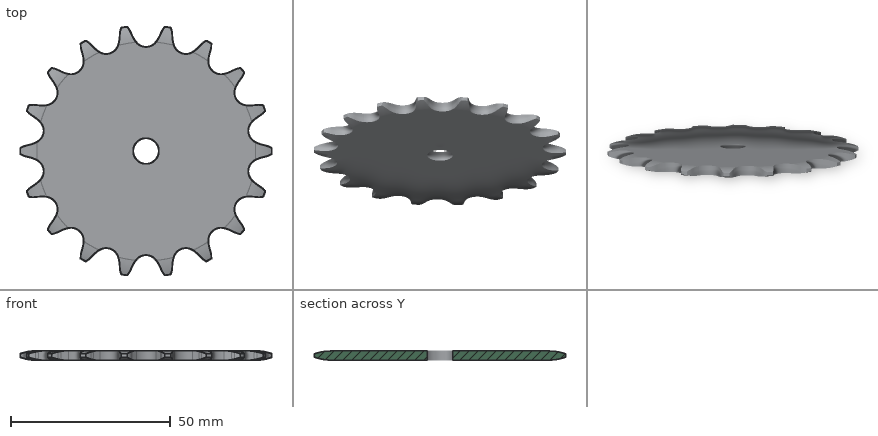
import cadquery as cq
import math

tooth_count = 18
tip_diameter = 78.9
pitch_diameter = 73.15
roller_diameter = 7.7
thickness = 3.0
bore_diameter = 8.0

relief_start_radius = 34.3
relief_depth = 0.95

tip_radius = tip_diameter / 2
pitch_radius = pitch_diameter / 2
half_thickness = thickness / 2
tooth_angle = 360.0 / tooth_count

seat_ratio = 0.507
working_offset_ratio = 0.8
topping_offset_ratio = 1.4
topping_clearance_ratio = 1.3025

seat_half_angle = 55 - 60 / tooth_count
working_angle = 18 - 56 / tooth_count
topping_angle = 17 - 64 / tooth_count

seat_radius = seat_ratio * roller_diameter
working_center_offset = working_offset_ratio * roller_diameter
topping_center_offset = topping_offset_ratio * roller_diameter
working_radius = seat_radius + working_center_offset
straight_length = (
    topping_center_offset * math.sin(math.radians(topping_angle))
    - working_center_offset * math.sin(math.radians(working_angle))
)
topping_radius = (
    working_center_offset * math.cos(math.radians(working_angle))
    + topping_center_offset * math.cos(math.radians(topping_angle))
    - topping_clearance_ratio * roller_diameter
)


def polar(center, radius, degrees):
    """Point at the given distance and direction from a centre."""
    angle = math.radians(degrees)
    return (center[0] + radius * math.cos(angle), center[1] + radius * math.sin(angle))


def mirrored(point):
    """The point reflected across the X axis."""
    return (point[0], -point[1])


def flank_points():
    """Points up the +Y flank of the gap on the +X axis, from the seat to the tip circle."""
    seat_center = (pitch_radius, 0)
    seat_end_direction = 180 - seat_half_angle
    seat_end = polar(seat_center, seat_radius, seat_end_direction)

    working_center = polar(seat_center, -working_center_offset, seat_end_direction)
    normal_direction = seat_end_direction - working_angle
    working_middle = polar(working_center, working_radius, seat_end_direction - working_angle / 2)
    working_end = polar(working_center, working_radius, normal_direction)

    straight_end = polar(working_end, straight_length, normal_direction - 90)

    topping_center = polar(straight_end, topping_radius, normal_direction)
    center_distance = math.hypot(*topping_center)
    center_direction = math.degrees(math.atan2(topping_center[1], topping_center[0]))
    cos_at_center = (tip_radius**2 - center_distance**2 - topping_radius**2) / (
        2 * center_distance * topping_radius
    )
    tip_direction = center_direction - math.degrees(math.acos(cos_at_center))
    start_direction = normal_direction - 180
    topping_middle = polar(topping_center, topping_radius, (start_direction + tip_direction) / 2)
    tip_corner = polar(topping_center, topping_radius, tip_direction)
    return [seat_end, working_middle, working_end, straight_end, topping_middle, tip_corner]


def tooth_gap():
    """Cutter for the gap on the +X axis, closed by a straight wall outside the tip circle."""
    seat_end, working_middle, working_end, straight_end, topping_middle, tip_corner = flank_points()
    outer_x = tip_radius + seat_radius
    return (
        cq.Workplane("XY")
        .workplane(offset=-half_thickness)
        .moveTo(outer_x, tip_corner[1])
        .lineTo(*tip_corner)
        .threePointArc(topping_middle, straight_end)
        .lineTo(*working_end)
        .threePointArc(working_middle, seat_end)
        .threePointArc((pitch_radius - seat_radius, 0), mirrored(seat_end))
        .threePointArc(mirrored(working_middle), mirrored(working_end))
        .lineTo(*mirrored(straight_end))
        .threePointArc(mirrored(topping_middle), mirrored(tip_corner))
        .lineTo(outer_x, -tip_corner[1])
        .close()
        .extrude(thickness)
    )


def relief_envelope():
    """Disc whose faces are flat inside the relief start and curve tangentially in outside it."""
    relief_width = tip_radius - relief_start_radius
    relief_radius = (relief_width**2 + relief_depth**2) / (2 * relief_depth)
    middle_angle = math.asin(relief_width / relief_radius) / 2
    middle_x = relief_start_radius + relief_radius * math.sin(middle_angle)
    middle_z = half_thickness - relief_radius * (1 - math.cos(middle_angle))
    tip_z = half_thickness - relief_depth
    return (
        cq.Workplane("XZ")
        .moveTo(0, half_thickness)
        .lineTo(relief_start_radius, half_thickness)
        .threePointArc((middle_x, middle_z), (tip_radius, tip_z))
        .lineTo(tip_radius, -tip_z)
        .threePointArc((middle_x, -middle_z), (relief_start_radius, -half_thickness))
        .lineTo(0, -half_thickness)
        .close()
        .revolve(360, (0, 0, 0), (0, 1, 0))
    )


sprocket = relief_envelope()
gap = tooth_gap()
for index in range(tooth_count):
    sprocket = sprocket.cut(gap.rotate((0, 0, 0), (0, 0, 1), (index + 0.5) * tooth_angle))

bore = cq.Workplane("XY").circle(bore_diameter / 2).extrude(half_thickness, both=True)
result = sprocket.cut(bore)